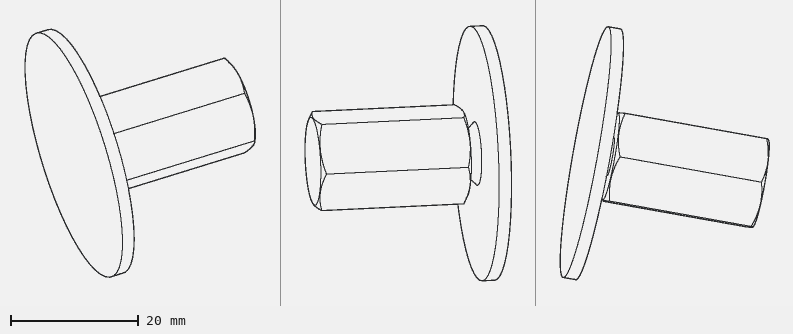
import cadquery as cq
import math

plate_diameter = 40.0
plate_thickness = 2.0
neck_base_diameter = 10.0
neck_tip_diameter = 6.0
neck_height = 2.0
hex_across_flats = 14.0
hex_length = 24.0
chamfer_face_diameter = 13.8
chamfer_angle = 30.0

plate_radius = plate_diameter / 2
neck_base_radius = neck_base_diameter / 2
neck_tip_radius = neck_tip_diameter / 2
hex_across_corners = hex_across_flats / math.cos(math.radians(30))
corner_radius = hex_across_corners / 2
chamfer_face_radius = chamfer_face_diameter / 2
chamfer_length = (corner_radius - chamfer_face_radius) * math.tan(math.radians(chamfer_angle))

plate_front_y = 0.0
plate_back_y = plate_front_y + plate_thickness
hex_start_y = plate_back_y + neck_height
hex_end_y = hex_start_y + hex_length


def revolve_about_y(profile_points):
    """Turn a closed (radius, y) outline around the Y axis."""
    return cq.Workplane("XY").polyline(profile_points).close().revolve(360, (0, 0, 0), (0, 1, 0))


def make_foot_plate():
    """Round plate with a conical neck that carries the hexagonal pillar."""
    return revolve_about_y([
        (0, plate_front_y),
        (plate_radius, plate_front_y),
        (plate_radius, plate_back_y),
        (neck_base_radius, plate_back_y),
        (neck_tip_radius, hex_start_y),
        (0, hex_start_y),
    ])


def make_hex_pillar():
    """Hexagonal bar with corners on the X axis and both ends chamfered by a cone."""
    bar = (
        cq.Workplane("XZ", origin=(0, hex_start_y, 0))
        .polygon(6, hex_across_corners)
        .extrude(-hex_length)
    )
    chamfer_envelope = revolve_about_y([
        (0, hex_start_y),
        (chamfer_face_radius, hex_start_y),
        (corner_radius, hex_start_y + chamfer_length),
        (corner_radius, hex_end_y - chamfer_length),
        (chamfer_face_radius, hex_end_y),
        (0, hex_end_y),
    ])
    return bar.intersect(chamfer_envelope).solids()


foot_plate = make_foot_plate()
hex_pillar = make_hex_pillar()

result = cq.Compound.makeCompound([foot_plate.val(), hex_pillar.val()])